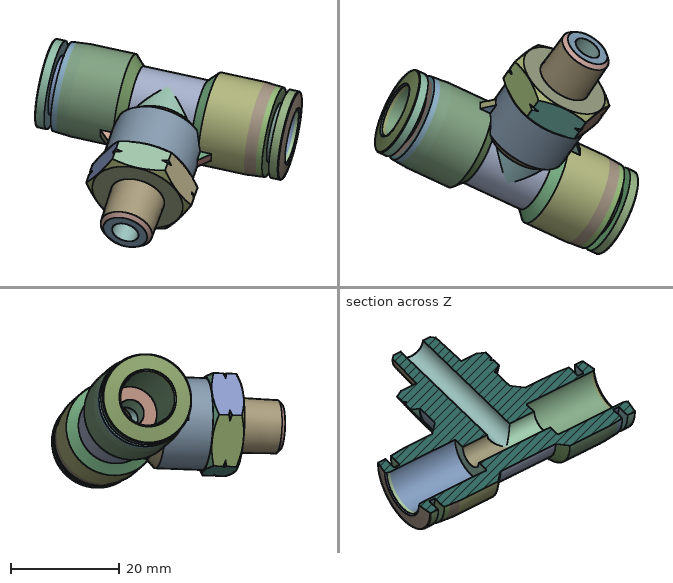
import cadquery as cq
import math


half_length = 23.8
core_radius = 6.85
sleeve_radius = 8.75
shoulder_inner_x = 6.25
shoulder_outer_x = shoulder_inner_x + sleeve_radius - core_radius
sleeve_taper_x = 16.9
cap_seam_x = 19.1
cap_seam_radius = 8.55
cap_rim_x = 20.25
cap_rim_radius = 8.45
cap_face_x = 20.33
cap_face_radius = 7.8

ring_neck_radius = 5.6
ring_radius = 8.4
ring_back_x = 21.5
ring_rim_x = 23.2
ring_cone_x = 23.32
ring_cone_radius = 8.25

bore_radius = 2.5
tube_bore_radius = 4.95
tube_stop_x = shoulder_outer_x
mouth_radius = 5.4
mouth_depth = 0.3
lead_in_radius = 5.1
lead_in_depth = 0.95

branch_radius = 8.5
branch_shoulder_start = 5.0
branch_shoulder_end = branch_shoulder_start + branch_radius - core_radius
spigot_end = 30.0
nut_start = 15.45
nut_height = 5.95
nut_end = nut_start + nut_height

nut_across_flats = 17.45
nut_corner_radius = nut_across_flats / 2 / math.cos(math.radians(30))
nut_face_radius = 8.65
nut_chamfer_angle = 30.0
nut_chamfer_height = (nut_corner_radius - nut_face_radius) * math.tan(math.radians(nut_chamfer_angle))
notch_depth = 0.5
notch_width = 0.6

spigot_radius = 5.15
spigot_tip_radius = 4.95
spigot_chamfer = 0.75

gusset_thickness = 1.9
gusset_reach = 10.6
gusset_drop = sleeve_radius + gusset_reach - branch_radius


def revolve_about_x(points):
    """Solid of revolution about X from (distance along X, radius) points."""
    return cq.Workplane("XY").polyline(points).close().revolve(360, (0, 0, 0), (1, 0, 0))


def revolve_about_y(points):
    """Solid of revolution about Y from (distance along -Y, radius) points."""
    outline = [(radius, -distance) for distance, radius in points]
    return cq.Workplane("XY").polyline(outline).close().revolve(360, (0, 0, 0), (0, 1, 0))


def socket():
    """Outside of one half of the run, on the +X side."""
    return revolve_about_x([
        (0, 0),
        (0, core_radius),
        (shoulder_inner_x, core_radius),
        (shoulder_outer_x, sleeve_radius),
        (sleeve_taper_x, sleeve_radius),
        (cap_seam_x, cap_seam_radius),
        (cap_rim_x, cap_rim_radius),
        (cap_face_x, cap_face_radius),
        (cap_face_x, ring_neck_radius),
        (ring_back_x, ring_neck_radius),
        (ring_back_x, ring_radius),
        (ring_rim_x, ring_radius),
        (ring_cone_x, ring_cone_radius),
        (half_length, mouth_radius),
        (half_length, 0),
    ])


def socket_bore():
    """Tube seat with a chamfered mouth and conical lead-in, narrowing to the through bore."""
    return revolve_about_x([
        (0, 0),
        (0, bore_radius),
        (tube_stop_x, bore_radius),
        (tube_stop_x, tube_bore_radius),
        (half_length - lead_in_depth, tube_bore_radius),
        (half_length - mouth_depth, lead_in_radius),
        (half_length, mouth_radius),
        (half_length, 0),
    ])


def branch():
    """Shouldered branch body with the spigot at its end."""
    return revolve_about_y([
        (0, 0),
        (0, core_radius),
        (branch_shoulder_start, core_radius),
        (branch_shoulder_end, branch_radius),
        (nut_start, branch_radius),
        (nut_start, spigot_radius),
        (nut_end, spigot_radius),
        (spigot_end - spigot_chamfer, spigot_tip_radius),
        (spigot_end, spigot_tip_radius - spigot_chamfer),
        (spigot_end, 0),
    ])


def nut():
    """Hexagon with chamfered corners and a V notch around the middle of the corners."""
    hexagon = (
        cq.Workplane("XZ", origin=(0, -nut_start, 0))
        .polygon(6, 2 * nut_corner_radius)
        .extrude(nut_height)
    )
    nut_middle = nut_start + nut_height / 2
    corner_envelope = revolve_about_y([
        (nut_start, 0),
        (nut_start, nut_face_radius),
        (nut_start + nut_chamfer_height, nut_corner_radius),
        (nut_middle - notch_width / 2, nut_corner_radius),
        (nut_middle, nut_corner_radius - notch_depth),
        (nut_middle + notch_width / 2, nut_corner_radius),
        (nut_end - nut_chamfer_height, nut_corner_radius),
        (nut_end, nut_face_radius),
        (nut_end, 0),
    ])
    return hexagon.intersect(corner_envelope)


def gussets():
    """Flat plate through the branch whose tapered ends leave a triangular rib in each corner."""
    return (
        cq.Workplane("XY")
        .polyline([
            (-gusset_reach, 0),
            (-gusset_reach, -sleeve_radius),
            (-branch_radius, -gusset_drop),
            (branch_radius, -gusset_drop),
            (gusset_reach, -sleeve_radius),
            (gusset_reach, 0),
        ])
        .close()
        .extrude(gusset_thickness / 2, both=True)
    )


def branch_bore():
    """Passage from the spigot end to the run axis."""
    return cq.Workplane("XZ").circle(bore_radius).extrude(spigot_end)


body = branch().union(nut()).union(gussets())
for part_half in (socket(), socket().mirror("YZ")):
    body = body.union(part_half)

body = body.cut(branch_bore())
for bore_half in (socket_bore(), socket_bore().mirror("YZ")):
    body = body.cut(bore_half)

result = body